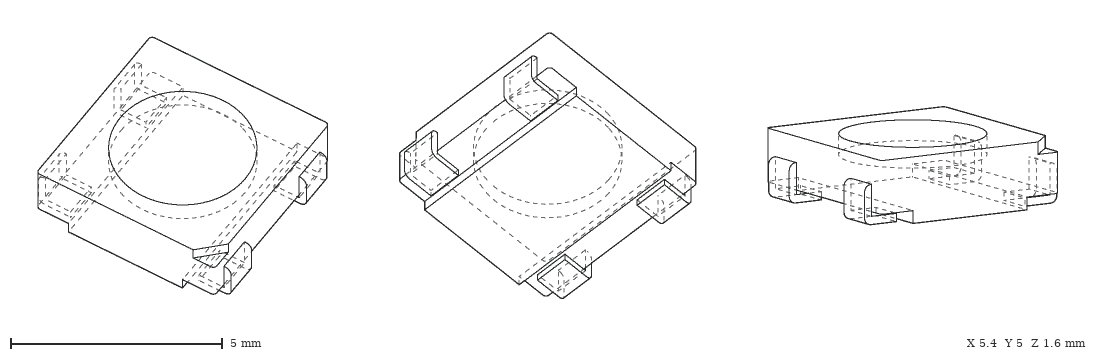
import cadquery as cq
import math

body_size = 5.0
height = 1.6
corner_radius = 0.1
base_width = 3.2
base_height = 0.31

notch_leg = 0.6
notch_depth = 0.3

lens_diameter = 3.5
lens_depth = 0.5

lead_thickness = 0.2
lead_width = 0.9
lead_height = 0.97
lead_foot_length = 0.9
lead_round_radius = 0.18
lead_spacing = 3.28

half_body = body_size / 2


def make_lens():
    return (
        cq.Workplane("XY")
        .workplane(offset=height - lens_depth)
        .circle(lens_diameter / 2)
        .extrude(lens_depth)
    )


def make_pin_one_notch():
    """Cutter for the top corner at +X, -Y."""
    return (
        cq.Workplane("XY")
        .workplane(offset=height - notch_depth)
        .moveTo(half_body, -half_body)
        .lineTo(half_body, -half_body + notch_leg)
        .lineTo(half_body - notch_leg, -half_body)
        .close()
        .extrude(notch_depth)
    )


def make_housing():
    upper = (
        cq.Workplane("XY")
        .workplane(offset=base_height)
        .rect(body_size, body_size)
        .extrude(height - base_height)
        .edges("|Z")
        .fillet(corner_radius)
    )
    base = cq.Workplane("XY").rect(base_width, body_size).extrude(base_height)
    return upper.union(base).cut(make_pin_one_notch()).cut(make_lens())


def make_lead(side, y_center):
    """L-shaped lead on the +X (side = 1) or -X (side = -1) face of the housing."""
    inner_x = side * half_body
    outer_x = side * (half_body + lead_thickness)
    foot_end_x = outer_x - side * lead_foot_length
    round_center_x = outer_x - side * lead_round_radius
    arc_middle_x = round_center_x + side * lead_round_radius * math.sqrt(0.5)
    arc_middle_rise = lead_round_radius * (1 - math.sqrt(0.5))
    return (
        cq.Workplane("XZ", origin=(0, y_center, 0))
        .moveTo(foot_end_x, 0)
        .lineTo(round_center_x, 0)
        .threePointArc((arc_middle_x, arc_middle_rise), (outer_x, lead_round_radius))
        .lineTo(outer_x, lead_height - lead_round_radius)
        .threePointArc((arc_middle_x, lead_height - arc_middle_rise), (round_center_x, lead_height))
        .lineTo(inner_x, lead_height)
        .lineTo(inner_x, lead_thickness)
        .lineTo(foot_end_x, lead_thickness)
        .close()
        .extrude(lead_width / 2, both=True)
    )


housing = make_housing()
lens = make_lens()
leads = [
    make_lead(side, y_side * lead_spacing / 2)
    for side in (-1, 1)
    for y_side in (-1, 1)
]

result = cq.Compound.makeCompound([housing.val(), lens.val(), *[lead.val() for lead in leads]])